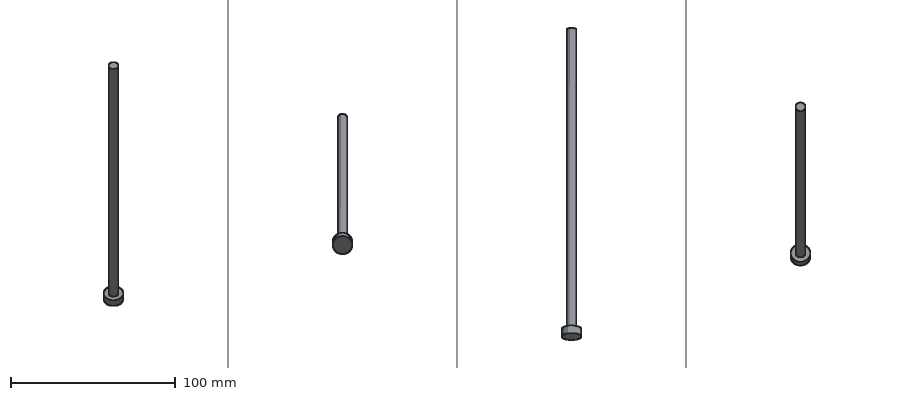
import cadquery as cq

total_length = 200.0
head_diameter = 12.0
head_height = 5.0
shaft_diameter = 6.0

head = cq.Workplane("XY").circle(head_diameter / 2).extrude(head_height)

shaft = cq.Workplane("XY").circle(shaft_diameter / 2).extrude(total_length)

result = head.union(shaft)